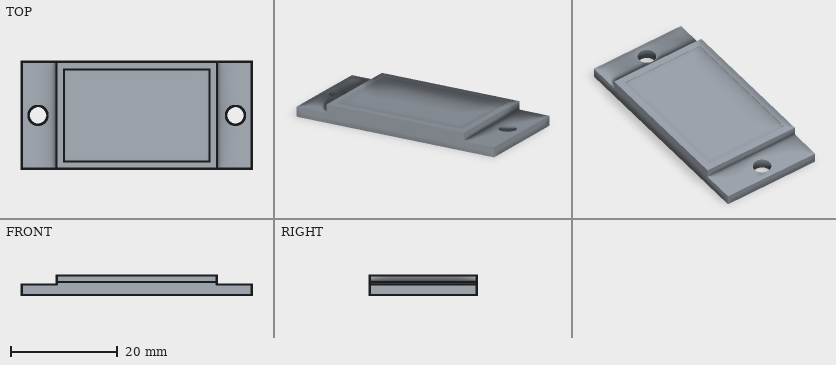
import cadquery as cq

BASE_LENGTH = 43.1
WIDTH = 20.1
EAR_THICKNESS = 2.03
HOLE_DIAMETER = 3.5
HOLE_SPACING = 37.0

COVER_LENGTH = 30.0
PLATFORM_TOP = 2.5
TOTAL_HEIGHT = 3.7
COVER_THICKNESS = TOTAL_HEIGHT - PLATFORM_TOP

WINDOW_LENGTH = 27.2
WINDOW_WIDTH = 17.2
WINDOW_DEPTH = 0.1


def block(length, width, height, bottom):
    """Rectangular block centred on the Z axis, standing on Z = bottom."""
    return cq.Workplane("XY").workplane(offset=bottom).rect(length, width).extrude(height)


def make_base():
    """Plate with a raised platform and a mounting hole through each ear."""
    plate = block(BASE_LENGTH, WIDTH, EAR_THICKNESS, 0)
    platform = block(COVER_LENGTH, WIDTH, PLATFORM_TOP, 0)
    holes = (
        cq.Workplane("XY")
        .pushPoints([(side * HOLE_SPACING / 2, 0) for side in (-1, 1)])
        .circle(HOLE_DIAMETER / 2)
        .extrude(EAR_THICKNESS)
    )
    return plate.union(platform).cut(holes)


def make_cover():
    """Flat cover with the window recess in its top face."""
    cover = block(COVER_LENGTH, WIDTH, COVER_THICKNESS, PLATFORM_TOP)
    window = block(WINDOW_LENGTH, WINDOW_WIDTH, WINDOW_DEPTH, TOTAL_HEIGHT - WINDOW_DEPTH)
    return cover.cut(window)


base = make_base()
cover = make_cover()

result = cq.Compound.makeCompound([base.val(), cover.val()])